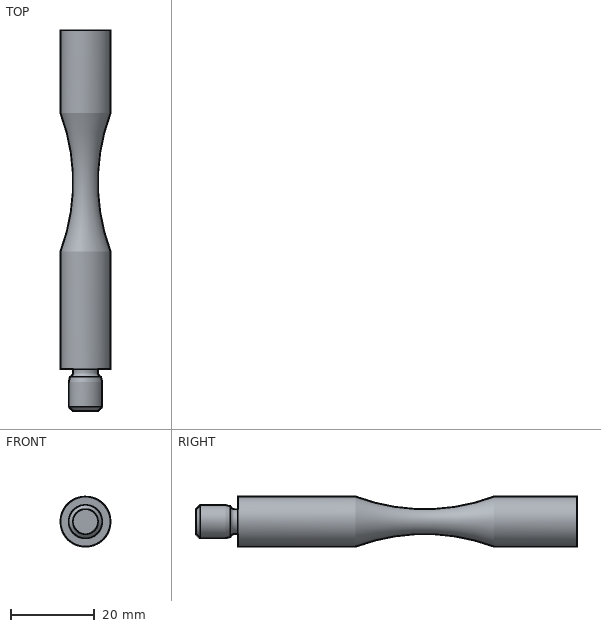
import cadquery as cq
import math

total_length = 91.0
body_radius = 6.0

waist_radius = 3.0
rear_length = 19.8
waist_length = 33.0

stud_radius = 4.0
stud_length = 10.0
tip_chamfer = 1.0

undercut_radius = 3.0
undercut_length = 3.0
undercut_land = 0.8
fillet_radius = 1.0
flank_angle = math.radians(60)
flank_top_radius = 3.7

shoulder_y = stud_length
undercut_start_y = shoulder_y - undercut_length
land_end_y = shoulder_y - undercut_land
waist_end_y = total_length - rear_length
waist_start_y = waist_end_y - waist_length
waist_middle_y = (waist_start_y + waist_end_y) / 2


def fillet_point(angle):
    """Point on the undercut fillet after turning by angle away from the land."""
    radius = undercut_radius + fillet_radius * (1 - math.cos(angle))
    return radius, land_end_y - fillet_radius * math.sin(angle)


def half_profile():
    """Closed half section in the XY plane, with X as the radius."""
    fillet_end = fillet_point(flank_angle)
    flank_length = (flank_top_radius - fillet_end[0]) / math.tan(flank_angle)
    flank_top_y = fillet_end[1] - flank_length
    return (
        cq.Workplane("XY")
        .moveTo(0, 0)
        .lineTo(stud_radius - tip_chamfer, 0)
        .lineTo(stud_radius, tip_chamfer)
        .lineTo(stud_radius, undercut_start_y)
        .lineTo(flank_top_radius, flank_top_y)
        .lineTo(*fillet_end)
        .threePointArc(fillet_point(flank_angle / 2), (undercut_radius, land_end_y))
        .lineTo(undercut_radius, shoulder_y)
        .lineTo(body_radius, shoulder_y)
        .lineTo(body_radius, waist_start_y)
        .threePointArc((waist_radius, waist_middle_y), (body_radius, waist_end_y))
        .lineTo(body_radius, total_length)
        .lineTo(0, total_length)
        .close()
    )


result = half_profile().revolve(360, (0, 0, 0), (0, 1, 0))